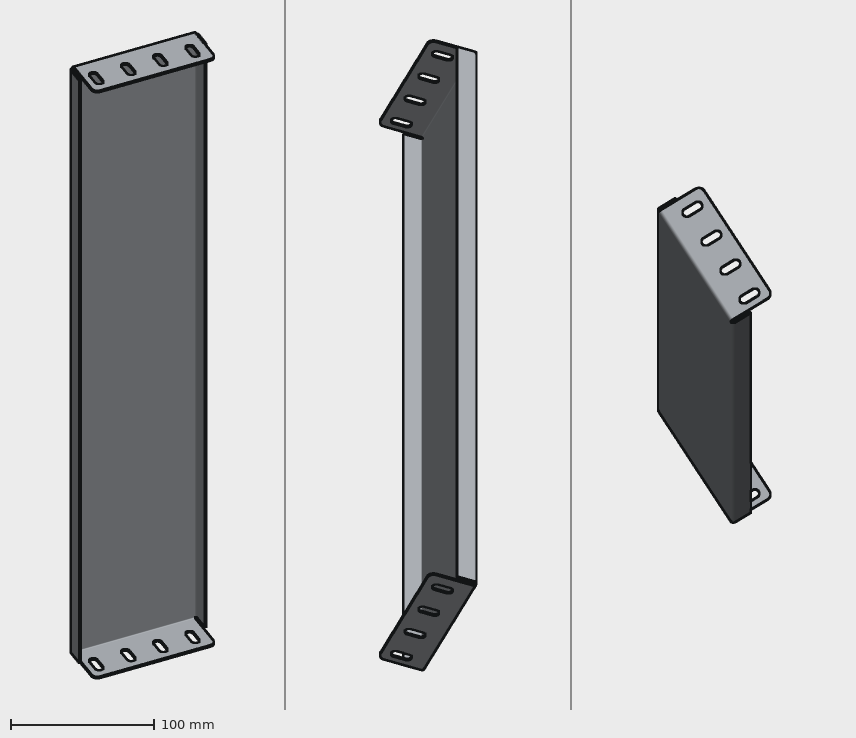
import cadquery as cq

length = 507.0
width = 99.0
end_flange_depth = 35.0
side_flange_depth = 15.0

sheet = 1.5
bend_radius = 2.3
inner_radius = bend_radius - sheet

corner_radius = 4.5
slot_count = 4
slot_pitch = 25.0
slot_length = 15.0
slot_width = 6.0
slot_center_x = 21.0
slot_row_offset = -1.5


def folded_channel(span, depth, run):
    """U-shaped sheet: web at X = 0, legs at Y = +/- span / 2, extruded along Z."""
    outer = (
        cq.Workplane("XY")
        .box(depth, span, run, centered=(False, True, True))
        .edges("|Z and <X")
        .fillet(bend_radius)
    )
    inner = (
        cq.Workplane("XY")
        .box(depth, span - 2 * sheet, run, centered=(False, True, True))
        .edges("|Z and <X")
        .fillet(inner_radius)
        .translate((sheet, 0, 0))
    )
    return outer.cut(inner)


def side_channel():
    """Front web with the two long side flanges, ending at the end flanges' bend lines."""
    return folded_channel(width, side_flange_depth, length - 2 * bend_radius)


def end_channel():
    """Front web with the top and bottom end flanges, between the side bends."""
    flange_width = width - 2 * bend_radius
    channel = folded_channel(length, end_flange_depth, flange_width)
    return channel.rotate((0, 0, 0), (1, 0, 0), 90).edges("|Z and >X").fillet(corner_radius)


def flange_slots():
    """Row of slots passing through both end flanges."""
    return (
        cq.Workplane("XY")
        .center(slot_center_x, slot_row_offset)
        .rarray(5, slot_pitch, 1, slot_count)
        .slot2D(slot_length, slot_width)
        .extrude(length, both=True)
    )


result = side_channel().union(end_channel()).cut(flange_slots())